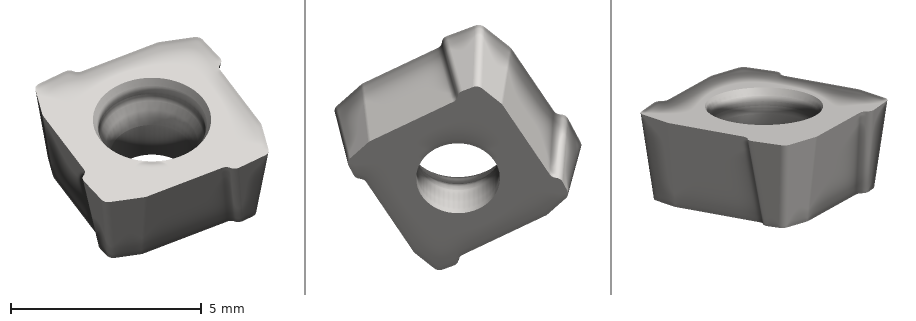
import cadquery as cq
import math


HEIGHT = 2.4
RELIEF_ANGLE = math.radians(7)

FLAT_DISTANCE = 2.45
CHAMFER_START = 1.505
CHAMFER_ANGLE = math.radians(17)
NOSE_WIDTH = 5.31
NOSE_ANGLE = math.radians(5.5)
STEP_START = 0.775
STEP_SHIFT = 0.305
RIM_RADIUS = 0.22
TOUCHING_GAP = 5.31e-05

MOUTH_RADIUS = 1.55
SEAT_RADIUS = 1.405
BORE_RADIUS = 1.1
MOUTH_ANGLE = math.radians(29)
MOUTH_BLEND_RADIUS = 0.285
THROAT_DEPTH = 1.3
THROAT_RADIUS = 1.0
THROAT_ANGLE = math.radians(40)


def crossing(point_a, angle_a, point_b, angle_b):
    """Point where two lines, each given by a point and a direction angle, cross."""
    dx = point_b[0] - point_a[0]
    dy = point_b[1] - point_a[1]
    along = (dx * math.sin(angle_b) - dy * math.cos(angle_b)) / math.sin(angle_b - angle_a)
    return (point_a[0] + along * math.cos(angle_a), point_a[1] + along * math.sin(angle_a))


def arc_between(start, center, end):
    """Start, middle and end of the short rim arc about a center."""
    toward_middle = (start - center) + (end - center)
    return start, center + toward_middle.normalized() * RIM_RADIUS, end


def rounded_corner(corner, angle_in, angle_out):
    """Arc rounding a corner, given the travel directions before and after it."""
    half_turn = (angle_out - angle_in) / 2
    setback = RIM_RADIUS * math.tan(half_turn)
    point = cq.Vector(*corner)
    start = point - direction(angle_in) * setback
    end = point + direction(angle_out) * setback
    center = start + direction(angle_in + math.pi / 2) * RIM_RADIUS
    return arc_between(start, center, end)


def direction(angle):
    return cq.Vector(math.cos(angle), math.sin(angle))


def nose_line_distance():
    """Distance of the nose line from the axis that gives the full nose width."""
    foot_center_y = FLAT_DISTANCE + RIM_RADIUS
    nose_center_y = NOSE_WIDTH / 2 - RIM_RADIUS
    center_gap = math.sqrt((2 * RIM_RADIUS) ** 2 - (foot_center_y - nose_center_y) ** 2)
    nose_center = cq.Vector(-STEP_START - center_gap, nose_center_y)
    return nose_center.dot(direction(math.pi / 2 + NOSE_ANGLE)) + RIM_RADIUS


def rim_quarter(inset, step_shift):
    """Arcs of one rim quarter, counterclockwise, with long sides moved in by inset."""
    flat = FLAT_DISTANCE - inset
    chamfer_start = (CHAMFER_START - inset * math.tan(CHAMFER_ANGLE / 2), flat)
    next_chamfer = (-chamfer_start[1], chamfer_start[0])

    nose_along = direction(NOSE_ANGLE)
    nose_normal = direction(NOSE_ANGLE + math.pi / 2)
    nose_distance = nose_line_distance() - inset
    foot = cq.Vector(-STEP_START - step_shift, flat)
    foot_center = foot + cq.Vector(0, RIM_RADIUS)
    across = foot_center.dot(nose_normal) - (nose_distance - RIM_RADIUS)
    along = foot_center.dot(nose_along) - math.sqrt((2 * RIM_RADIUS) ** 2 - across ** 2)
    nose_center = nose_normal * (nose_distance - RIM_RADIUS) + nose_along * along
    step_middle = (foot_center + nose_center) * 0.5
    nose_start = nose_center + nose_normal * RIM_RADIUS

    nose_corner = crossing(
        nose_start.toTuple(), NOSE_ANGLE, next_chamfer, math.pi / 2 - CHAMFER_ANGLE
    )
    return [
        rounded_corner(chamfer_start, math.pi - CHAMFER_ANGLE, math.pi),
        arc_between(foot, foot_center, step_middle),
        arc_between(step_middle, nose_center, nose_start),
        rounded_corner(nose_corner, math.pi + NOSE_ANGLE, 3 * math.pi / 2 - CHAMFER_ANGLE),
    ]


def rim_wire(inset, step_shift, z):
    quarter = rim_quarter(inset, step_shift)
    arcs = []
    for turns in range(4):
        location = cq.Location(cq.Vector(0, 0, z), cq.Vector(0, 0, 1), 90 * turns)
        for arc in quarter:
            arcs.append([cq.Vertex.makeVertex(*p.toTuple()).moved(location).Center() for p in arc])

    edges = []
    for arc, next_arc in zip(arcs, arcs[1:] + arcs[:1]):
        edges.append(cq.Edge.makeThreePointArc(*arc))
        if (next_arc[0] - arc[-1]).Length > TOUCHING_GAP:
            edges.append(cq.Edge.makeLine(arc[-1], next_arc[0]))
    return cq.Wire.assembleEdges(edges)


def insert_body():
    inset = HEIGHT * math.tan(RELIEF_ANGLE)
    bottom = rim_wire(inset, STEP_SHIFT, 0)
    top = rim_wire(0, 0, HEIGHT)
    return cq.Workplane(cq.Solid.makeLoft([bottom, top], True))


def arc_point(center, radius, angle):
    return (center[0] + radius * math.cos(angle), center[1] + radius * math.sin(angle))


def screw_hole():
    blend_radius_gain = MOUTH_BLEND_RADIUS * (1 - math.cos(MOUTH_ANGLE))
    cone_end_radius = SEAT_RADIUS + blend_radius_gain
    cone_depth = (MOUTH_RADIUS - cone_end_radius) / math.tan(MOUTH_ANGLE)
    blend_depth = cone_depth + MOUTH_BLEND_RADIUS * math.sin(MOUTH_ANGLE)
    blend_center = (SEAT_RADIUS + MOUTH_BLEND_RADIUS, HEIGHT - blend_depth)

    throat_center = (BORE_RADIUS + THROAT_RADIUS, HEIGHT - THROAT_DEPTH)
    throat_top = arc_point(throat_center, THROAT_RADIUS, math.pi - THROAT_ANGLE)
    seat_fillet = (SEAT_RADIUS - throat_top[0]) / (1 - math.cos(THROAT_ANGLE))
    fillet_center = (SEAT_RADIUS - seat_fillet, throat_top[1] + seat_fillet * math.sin(THROAT_ANGLE))

    return (
        cq.Workplane("XZ")
        .moveTo(0, HEIGHT)
        .lineTo(MOUTH_RADIUS, HEIGHT)
        .lineTo(cone_end_radius, HEIGHT - cone_depth)
        .threePointArc(
            arc_point(blend_center, MOUTH_BLEND_RADIUS, math.pi - MOUTH_ANGLE / 2),
            (SEAT_RADIUS, blend_center[1]),
        )
        .lineTo(SEAT_RADIUS, fillet_center[1])
        .threePointArc(arc_point(fillet_center, seat_fillet, -THROAT_ANGLE / 2), throat_top)
        .threePointArc(
            arc_point(throat_center, THROAT_RADIUS, math.pi - THROAT_ANGLE / 2),
            (BORE_RADIUS, throat_center[1]),
        )
        .lineTo(BORE_RADIUS, 0)
        .lineTo(0, 0)
        .close()
        .revolve(360, (0, 0, 0), (0, 1, 0))
    )


result = insert_body().cut(screw_hole())